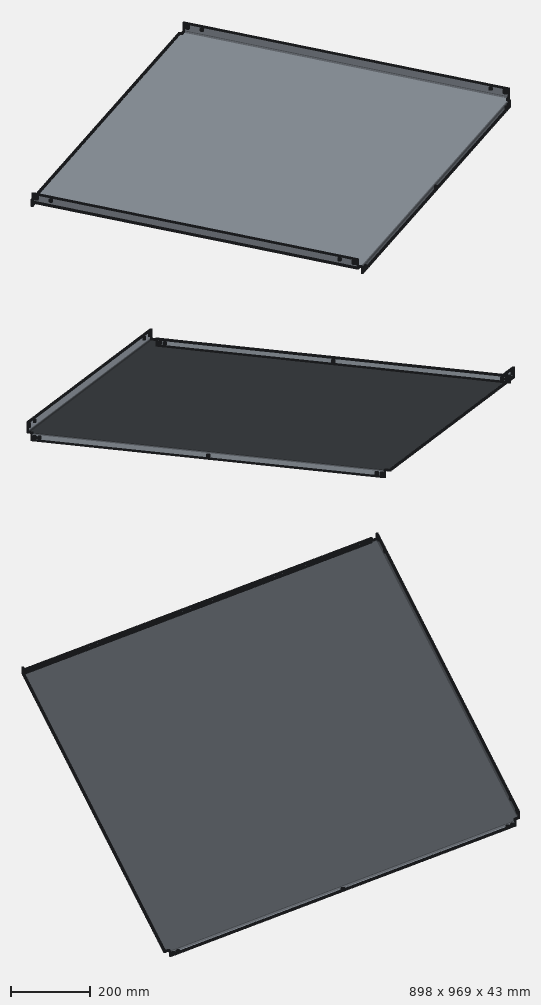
import cadquery as cq

size_x = 898.0
size_y = 969.0
size_z = 43.0
thickness = 2.0

up_height = 26.0
down_height = size_z - up_height + thickness
up_length = 883.0
down_length = 943.0
outer_bend_radius = 2.4
inner_bend_radius = outer_bend_radius - thickness

end_hole_diameter = 10.0
small_hole_diameter = 6.0

end_hole_inset = 10.0
up_small_hole_inset = 49.0
up_hole_z = 16.0
down_hole_insets = (9.0, 21.0)
down_hole_z = -9.0


def rounded_block(width, length, height, radius):
    """Block standing on Z = 0, with its two bottom edges along Y rounded."""
    block = cq.Workplane("XY").box(width, length, height, centered=(True, True, False))
    return block.edges("|Y and <Z").fillet(radius)


def folded_sheet(width, length, height):
    """Sheet lying on Z = 0, with its two edges along Y folded up to the given height."""
    outside = rounded_block(width, length, height, outer_bend_radius)
    inside = rounded_block(width - 2 * thickness, length, height, inner_bend_radius)
    return outside.cut(inside.translate((0, 0, thickness)))


def holes_along_y(x_positions, diameter):
    """Cutters through both upward flanges."""
    points = [(x, up_hole_z) for x in x_positions]
    return cq.Workplane("XZ").pushPoints(points).circle(diameter / 2).extrude(size_y, both=True)


def holes_along_x(y_positions, diameter):
    """Cutters through both downward flanges."""
    points = [(y, down_hole_z) for y in y_positions]
    return cq.Workplane("YZ").pushPoints(points).circle(diameter / 2).extrude(size_x, both=True)


def mirrored(flange_length, inset):
    """Positions at the same inset from the two ends of a flange."""
    position = flange_length / 2 - inset
    return [-position, position]


up_fold = folded_sheet(size_y, up_length, up_height).rotate((0, 0, 0), (0, 0, 1), 90)
down_fold = folded_sheet(size_x, down_length, down_height).rotate((0, 0, 0), (0, 1, 0), 180)
tray = up_fold.union(down_fold.translate((0, 0, thickness)))

tray = tray.cut(holes_along_y(mirrored(up_length, end_hole_inset), end_hole_diameter))
tray = tray.cut(holes_along_y(mirrored(up_length, up_small_hole_inset), small_hole_diameter))

down_hole_positions = [0]
for inset in down_hole_insets:
    down_hole_positions += mirrored(down_length, inset)
tray = tray.cut(holes_along_x(down_hole_positions, small_hole_diameter))

result = tray